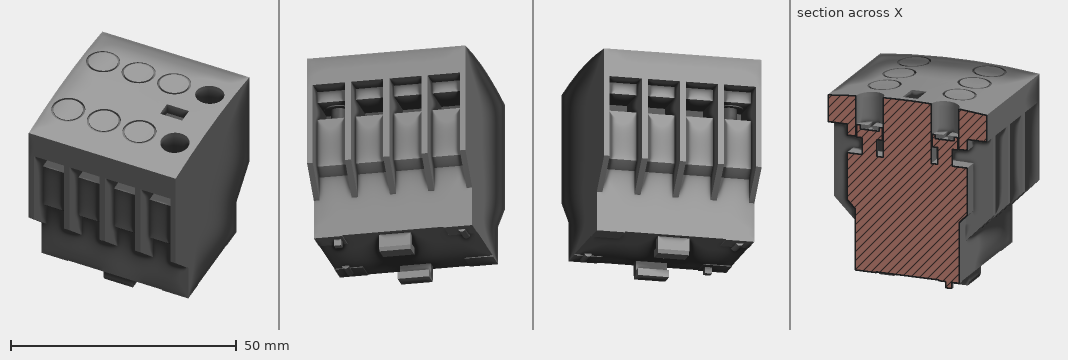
import cadquery as cq
import math

width = 36.0
head_depth = 38.0
foot_depth = 24.95
top_z = 44.9
crown_edge_z = 43.78
foot_z = 3.65
taper_bottom_z = 12.53
foot_half = foot_depth / 2
head_half = head_depth / 2
taper_top_z = taper_bottom_z + head_half - foot_half

pole_count = 4
pole_pitch = 8.7
pole_xs = [(i - (pole_count - 1) / 2) * pole_pitch for i in range(pole_count)]
screw_x = pole_xs[-1]
row_y = 9.0

pocket_width = 7.3
pocket_top_z = 37.45
window_top_z = 34.9
window_bottom_z = 30.9
pocket_depth = 4.62
pocket_back = head_half - pocket_depth
block_bottom_z = 19.8

hole_diameter = 6.45
head_diameter = 6.2
shank_diameter = 3.6
screw_top_z = 37.7
head_overhang = 0.2
head_bottom_z = window_top_z - head_overhang
slot_width = 1.1
cross_width = 0.9
cross_length = 4.4
slot_depth = 0.9
window_back = row_y - hole_diameter / 2

ring_outer_diameter = 7.55
ring_inner_diameter = 6.55
ring_depth = 0.45

recess_x = 8.7
recess_length = 5.4
recess_width = 3.55
recess_floor_z = 42.35

relief_depth = 0.2
relief_half_x = 11.55
relief_half_y = 7.4
relief_z = foot_z + relief_depth

clip_width = 7.1
clip_outer_y = 10.85
clip_inner_y = 9.0
clip_tip_y = 6.95
clip_toe_z = 1.6
clip_chamfer_y = 0.25
clip_chamfer_z = 0.9

bump_x = 15.18
bump_outer_y = 10.5
bump_inner_y = 6.05
bump_half_width = 0.8
bump_bottom_z = 3.1
peg_size = 1.6
peg_y = 9.9
peg_bottom_z = 2.2


def box(x0, x1, y0, y1, z0, z1):
    """Axis-aligned box between two corners."""
    return cq.Workplane("XY").box(x1 - x0, y1 - y0, z1 - z0, centered=False).translate((x0, y0, z0))


def disc(x, y, diameter, z0, z1):
    """Upright cylinder between two heights."""
    return cq.Workplane("XY", origin=(x, y, z0)).circle(diameter / 2).extrude(z1 - z0)


def both_sides(shape):
    """The shape together with its mirror image across the XZ plane."""
    return shape.union(shape.mirror("XZ"))


def yz_sketch(x_center, length):
    """Workplane for a YZ profile that is extruded by length about x_center."""
    return cq.Workplane("YZ", origin=(x_center - length / 2, 0, 0))


def make_housing():
    """Prism along X with an arched crown, upright sides and 45 degree tapers."""
    return (
        yz_sketch(0, width)
        .moveTo(-foot_half, foot_z)
        .lineTo(foot_half, foot_z)
        .lineTo(foot_half, taper_bottom_z)
        .lineTo(head_half, taper_top_z)
        .lineTo(head_half, crown_edge_z)
        .threePointArc((0, top_z), (-head_half, crown_edge_z))
        .lineTo(-head_half, taper_top_z)
        .lineTo(-foot_half, taper_bottom_z)
        .close()
        .extrude(width)
    )


def make_pocket(x):
    """Wire pocket: a terminal block with a 45 degree underside and a window above it."""
    block_underside_z = block_bottom_z - (pocket_back - foot_half)
    profile = [
        (-head_half, pocket_top_z),
        (-pocket_back, pocket_top_z),
        (-pocket_back, window_top_z),
        (-window_back, window_top_z),
        (-window_back, window_bottom_z),
        (-pocket_back, window_bottom_z),
        (-pocket_back, block_bottom_z),
        (-foot_half, block_underside_z),
        (-foot_half, taper_bottom_z),
        (-head_half, taper_bottom_z),
    ]
    return yz_sketch(x, pocket_width).polyline(profile).close().extrude(pocket_width)


def crown_height(y):
    """Height of the arched crown at a given Y."""
    rise = top_z - crown_edge_z
    radius = (head_half**2 + rise**2) / (2 * rise)
    return top_z - radius + math.sqrt(radius**2 - y**2)


def make_ring_groove(x, y):
    """Cutter for a ring groove whose depth is measured from the crown above its centre."""
    floor_z = crown_height(y) - ring_depth
    outer = disc(x, y, ring_outer_diameter, floor_z, top_z)
    return outer.cut(disc(x, y, ring_inner_diameter, floor_z, top_z))


def make_screw(y):
    """Screw with a full-width slot crossed by a shorter one."""
    head = disc(screw_x, y, head_diameter, head_bottom_z, screw_top_z)
    slot_z = screw_top_z - slot_depth
    slot_half_length = head_diameter / 2
    for half_x, half_y in ((slot_half_length, slot_width / 2), (cross_width / 2, cross_length / 2)):
        slot = box(screw_x - half_x, screw_x + half_x, y - half_y, y + half_y, slot_z, screw_top_z)
        head = head.cut(slot)
    return head.union(disc(screw_x, y, shank_diameter, window_bottom_z, head_bottom_z))


def make_clip():
    """L-shaped rail clip with its toe pointing to the middle."""
    profile = [
        (-clip_outer_y, relief_z),
        (-clip_outer_y, clip_chamfer_z),
        (-clip_outer_y + clip_chamfer_y, 0),
        (-clip_tip_y, 0),
        (-clip_tip_y, clip_toe_z),
        (-clip_inner_y, clip_toe_z),
        (-clip_inner_y, relief_z),
    ]
    return yz_sketch(0, clip_width).polyline(profile).close().extrude(clip_width)


def make_bump(x):
    """Foot with a round underside, lying along Y on the -Y half."""
    return (
        cq.Workplane("XZ", origin=(x, -bump_inner_y, 0))
        .moveTo(-bump_half_width, relief_z)
        .lineTo(-bump_half_width, foot_z)
        .threePointArc((0, bump_bottom_z), (bump_half_width, foot_z))
        .lineTo(bump_half_width, relief_z)
        .close()
        .extrude(bump_outer_y - bump_inner_y)
    )


body = make_housing()

body = body.cut(box(-relief_half_x, relief_half_x, -foot_half, foot_half, foot_z, relief_z))
body = body.cut(box(-width / 2, width / 2, -relief_half_y, relief_half_y, foot_z, relief_z))

for pole_x in pole_xs:
    body = body.cut(both_sides(make_pocket(pole_x)))

for pole_x in pole_xs[:-1]:
    for y in (-row_y, row_y):
        body = body.cut(make_ring_groove(pole_x, y))

for y in (-row_y, row_y):
    body = body.cut(disc(screw_x, y, hole_diameter, window_top_z, top_z))
    body = body.union(make_screw(y))

body = body.cut(
    box(
        recess_x - recess_length / 2,
        recess_x + recess_length / 2,
        -recess_width / 2,
        recess_width / 2,
        recess_floor_z,
        top_z,
    )
)

body = body.union(both_sides(make_clip()))
body = body.union(make_bump(bump_x))
body = body.union(make_bump(bump_x).rotate((0, 0, 0), (0, 0, 1), 180))
peg_half = peg_size / 2
peg = box(
    screw_x - peg_half,
    screw_x + peg_half,
    peg_y - peg_half,
    peg_y + peg_half,
    peg_bottom_z,
    relief_z,
)
result = body.union(peg)